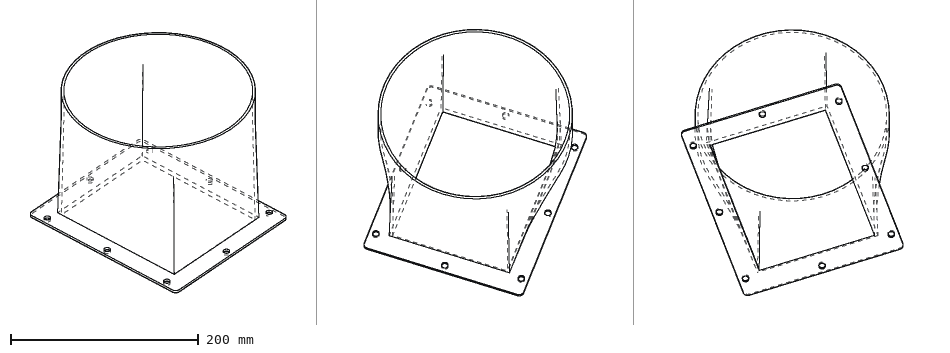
import cadquery as cq
import math

flange_length = 210.0
flange_width = 180.0
flange_thickness = 3.0
flange_corner_radius = 5.0

wall = 3.0
collar_diameter = 207.0
collar_height = 40.0
total_height = 168.0
opening_length = 160.0
opening_width = 130.0
collar_base = total_height - collar_height

hole_diameter = 7.0
corner_hole_x = 85.0
side_hole_x = 97.0
hole_y = 82.1


def transition(length, width, diameter):
    """Solid blending a rectangle on the flange into a circle under the collar."""
    radius = diameter / 2
    corner_angle = math.atan2(width, length)
    split_x = radius * math.cos(corner_angle)
    split_y = radius * math.sin(corner_angle)
    return (
        cq.Workplane("XY", origin=(0, 0, flange_thickness))
        .moveTo(-length / 2, -width / 2)
        .lineTo(length / 2, -width / 2)
        .lineTo(length / 2, width / 2)
        .lineTo(-length / 2, width / 2)
        .close()
        .workplane(offset=collar_base - flange_thickness, origin=(0, 0, flange_thickness))
        .moveTo(-split_x, -split_y)
        .threePointArc((0, -radius), (split_x, -split_y))
        .threePointArc((radius, 0), (split_x, split_y))
        .threePointArc((0, radius), (-split_x, split_y))
        .threePointArc((-radius, 0), (-split_x, -split_y))
        .close()
        .loft(ruled=True, combine=True)
    )


def make_flange():
    """Rounded plate with four corner holes and a hole midway along each side."""
    holes = [(x, y) for x in (-corner_hole_x, corner_hole_x) for y in (-hole_y, hole_y)]
    holes += [(0, -hole_y), (0, hole_y), (-side_hole_x, 0), (side_hole_x, 0)]
    return (
        cq.Workplane("XY")
        .rect(flange_length, flange_width)
        .extrude(flange_thickness)
        .edges("|Z")
        .fillet(flange_corner_radius)
        .cut(cq.Workplane("XY").rect(opening_length, opening_width).extrude(flange_thickness))
        .faces(">Z")
        .workplane(origin=(0, 0, flange_thickness))
        .pushPoints(holes)
        .hole(hole_diameter)
    )


def make_duct_wall():
    """Hollow transition of constant end thickness."""
    outside = transition(opening_length + 2 * wall, opening_width + 2 * wall, collar_diameter)
    inside = transition(opening_length, opening_width, collar_diameter - 2 * wall)
    return outside.cut(inside)


def make_collar():
    """Straight round sleeve at the top."""
    return (
        cq.Workplane("XY", origin=(0, 0, collar_base))
        .circle(collar_diameter / 2)
        .circle(collar_diameter / 2 - wall)
        .extrude(collar_height)
    )


result = make_flange().union(make_duct_wall()).union(make_collar())